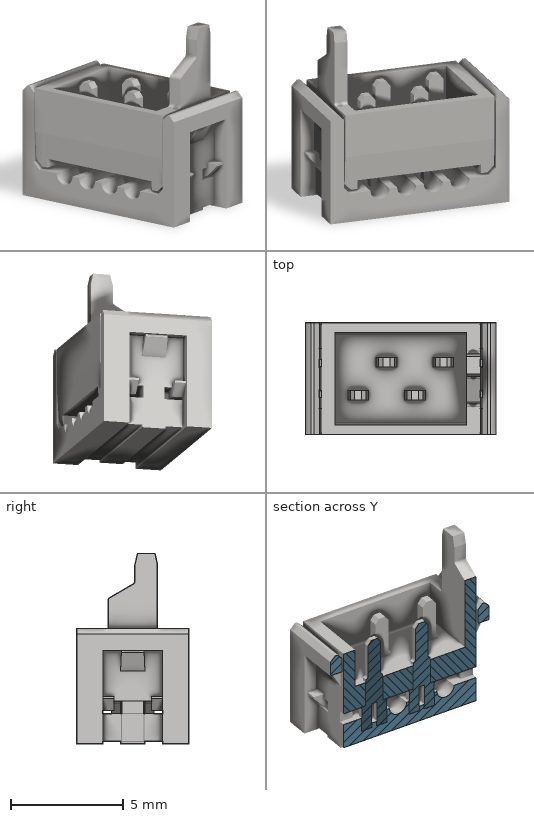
import cadquery as cq

base_length = 8.51
depth = 5.0
base_height = 5.15
arm_thickness = 0.63
arm_tip_bevel = 0.255
base_floor_z = 1.35
floor_corner_bevel = 0.31
groove_radius = 0.45
window_half_width = 1.34
window_top_z = 4.16
block_inner_x = 2.89
block_half_width = 0.49
channel_height = 0.11
keel_half_width = 0.54

housing_length = 7.11
housing_top_z = 5.09
housing_underside_z = 1.91
foot_bottom_z = 1.49
foot_corner_bevel = 0.31
foot_inner_half_y = 0.84
draft_start_z = 3.09
draft_inset = 0.1
cavity_length = 5.87
cavity_depth = 4.12
cavity_floor_z = 3.165
cavity_floor_radius = 0.1

latch_reach = 0.48
latch_bottom_z = 3.26
latch_lip = 0.09
latch_half_width_top = 0.5
latch_half_width_bottom = 0.545
tab_reach = 0.52
tab_top_z = 2.12
tab_lip = 0.09

key_top_z = 8.5
key_back_y = 1.1
key_step_y = 0.085
key_front_y = -1.1
key_tip_back_y = 0.995
key_tip_front_y = 0.21
key_back_taper_z = 8.04
key_front_taper_z = 7.98
key_slope_top_z = 7.17
key_slope_bottom_z = 6.485
key_edge_radius = 0.145

pin_count = 4
pin_pitch = 1.27
pin_row_y = 0.74
pin_thickness = 0.425
pin_top_z = 5.285
pin_tip_z = 0.68
blade_width = 0.7
blade_bevel_width = 0.19
blade_bevel_height = 0.24
shoulder_width = 0.92
shoulder_top_z = 3.32
shoulder_radius = 0.1
fork_width = 1.35
fork_slot_width = 0.255
fork_flare_radius = 0.09

base_half = base_length / 2
arm_inner_x = base_half - arm_thickness
housing_half = housing_length / 2
cavity_half = cavity_length / 2
pin_xs = [(i - (pin_count - 1) / 2) * pin_pitch for i in range(pin_count)]


def box(x0, x1, y0, y1, z0, z1):
    """Axis-aligned box between the given limits."""
    return cq.Workplane("XY").box(x1 - x0, y1 - y0, z1 - z0, centered=False).translate((x0, y0, z0))


def extrude_along_y(points, length, center_y=0):
    """Closed XZ outline extruded evenly to both sides of center_y."""
    outline = cq.Workplane("XZ", origin=(0, center_y, 0)).polyline(points).close()
    return outline.extrude(length / 2, both=True)


def mirrored_in_x(points):
    """Outline through the points, continued by their mirror image across X = 0."""
    return points + [(-x, z) for x, z in reversed(points)]


def make_base():
    tip_half_flat = arm_thickness / 2 - arm_tip_bevel
    arm_middle_x = base_half - arm_thickness / 2
    bevel_z = base_height - arm_tip_bevel
    profile = mirrored_in_x([
        (base_half, 0),
        (base_half, bevel_z),
        (arm_middle_x + tip_half_flat, base_height),
        (arm_middle_x - tip_half_flat, base_height),
        (arm_inner_x, bevel_z),
        (arm_inner_x, base_floor_z + floor_corner_bevel),
        (arm_inner_x - floor_corner_bevel, base_floor_z),
    ])
    base = extrude_along_y(profile, depth)

    for x in pin_xs:
        groove = cq.Workplane("XZ").center(x, base_floor_z).circle(groove_radius)
        base = base.cut(groove.extrude(depth, both=True))

    for side in (-1, 1):
        x0, x1 = sorted((side * housing_half, side * base_half))
        base = base.cut(box(x0, x1, -window_half_width, window_half_width, 0, window_top_z))
        x0, x1 = sorted((side * block_inner_x, side * base_half))
        base = base.cut(box(x0, x1, -window_half_width, window_half_width, base_floor_z, window_top_z))
        x0, x1 = sorted((side * block_inner_x, side * housing_half))
        base = base.union(box(x0, x1, -block_half_width, block_half_width, channel_height, housing_underside_z))
        y0, y1 = sorted((side * keel_half_width, side * window_half_width))
        base = base.cut(box(-base_half, base_half, y0, y1, 0, channel_height))
    return base


def make_housing_shell():
    bevel_z = foot_bottom_z + foot_corner_bevel
    front = mirrored_in_x([
        (housing_half, housing_top_z),
        (housing_half, bevel_z),
        (housing_half - foot_corner_bevel, foot_bottom_z),
        (cavity_half, foot_bottom_z),
        (cavity_half, housing_underside_z),
    ])
    half_depth = depth / 2
    side = [
        (half_depth, housing_top_z),
        (half_depth, draft_start_z),
        (half_depth - draft_inset, foot_bottom_z),
        (draft_inset - half_depth, foot_bottom_z),
        (-half_depth, draft_start_z),
        (-half_depth, housing_top_z),
    ]
    drafted = cq.Workplane("YZ").polyline(side).close().extrude(housing_half, both=True)
    shell = extrude_along_y(front, depth).intersect(drafted)

    shell = shell.cut(box(-housing_half, housing_half, -foot_inner_half_y, foot_inner_half_y,
                          foot_bottom_z, housing_underside_z))

    cavity = box(-cavity_half, cavity_half, -cavity_depth / 2, cavity_depth / 2, cavity_floor_z, housing_top_z)
    return shell.cut(cavity.edges("|X and <Z").fillet(cavity_floor_radius))


def make_latch(side):
    """Central barb that snaps under the window top, slightly wider toward its bottom."""
    outer_x = housing_half + latch_reach
    profile = [
        (side * cavity_half, window_top_z),
        (side * outer_x, window_top_z),
        (side * outer_x, window_top_z - latch_lip),
        (side * housing_half, latch_bottom_z),
        (side * cavity_half, latch_bottom_z),
    ]
    width_outline = [
        (-latch_half_width_bottom, latch_bottom_z),
        (latch_half_width_bottom, latch_bottom_z),
        (latch_half_width_top, window_top_z),
        (-latch_half_width_top, window_top_z),
    ]
    wedge = cq.Workplane("YZ").polyline(width_outline).close().extrude(outer_x, both=True)
    barb = extrude_along_y(profile, 2 * latch_half_width_bottom)
    return barb.intersect(wedge)


def make_tab(side, row):
    """Lower barb at the inner end of a foot."""
    outer_x = housing_half + tab_reach
    profile = [
        (side * cavity_half, tab_top_z),
        (side * outer_x, tab_top_z),
        (side * outer_x, tab_top_z - tab_lip),
        (side * housing_half, foot_bottom_z),
        (side * cavity_half, foot_bottom_z),
    ]
    width = window_half_width - foot_inner_half_y
    return extrude_along_y(profile, width, row * (foot_inner_half_y + width / 2))


def make_key():
    outline = [
        (key_back_y, cavity_floor_z),
        (key_back_y, key_back_taper_z),
        (key_tip_back_y, key_top_z),
        (key_tip_front_y, key_top_z),
        (key_step_y, key_front_taper_z),
        (key_step_y, key_slope_top_z),
        (key_front_y, key_slope_bottom_z),
        (key_front_y, cavity_floor_z),
    ]
    thickness = housing_half - cavity_half
    key = cq.Workplane("YZ", origin=(cavity_half, 0, 0)).polyline(outline).close().extrude(thickness)
    middle_x = cavity_half + thickness / 2
    for y, z in ((key_step_y, key_slope_top_z), (key_front_y, key_slope_bottom_z)):
        key = key.edges(cq.selectors.NearestToPointSelector((middle_x, y, z))).fillet(key_edge_radius)
    return key


def make_key_root(y, direction):
    """Concave fillet between a side of the key and the rim of the housing."""
    r = key_edge_radius
    root = cq.Workplane("YZ", origin=(cavity_half, 0, 0)).moveTo(y, housing_top_z)
    root = root.lineTo(y + direction * r, housing_top_z)
    root = root.radiusArc((y, housing_top_z + r), direction * r).close()
    return root.extrude(housing_half - cavity_half)


def make_housing():
    housing = make_housing_shell().union(make_key())
    housing = housing.union(make_key_root(key_back_y, 1))
    housing = housing.union(make_key_root(key_front_y, -1))
    for side in (-1, 1):
        housing = housing.union(make_latch(side))
        for row in (-1, 1):
            housing = housing.union(make_tab(side, row))
    return housing


def make_pin(x, y):
    """Flat contact: blade on top, shoulder through the floor, slotted fork at the bottom."""
    blade = blade_width / 2
    shoulder = shoulder_width / 2
    fork = fork_width / 2
    slot = fork_slot_width / 2
    r = shoulder_radius
    flare = fork_flare_radius
    ledge_z = shoulder_top_z
    pin = (
        cq.Workplane("XZ")
        .moveTo(slot, pin_tip_z)
        .lineTo(fork, pin_tip_z)
        .lineTo(fork, housing_underside_z - flare)
        .radiusArc((fork + flare, housing_underside_z), flare)
        .lineTo(shoulder, housing_underside_z)
        .lineTo(shoulder, ledge_z)
        .lineTo(blade + r, ledge_z)
        .radiusArc((blade, ledge_z + r), r)
        .lineTo(blade, pin_top_z - blade_bevel_height)
        .lineTo(blade - blade_bevel_width, pin_top_z)
        .lineTo(0, pin_top_z)
        .lineTo(0, housing_underside_z)
        .lineTo(slot, housing_underside_z)
        .close()
        .extrude(pin_thickness / 2, both=True)
    )
    pin = pin.union(pin.mirror("YZ"))
    return pin.translate((x, y, 0))


pins = [make_pin(x, pin_row_y if i % 2 else -pin_row_y) for i, x in enumerate(pin_xs)]

base = make_base()
housing = make_housing()
for pin in pins:
    base = base.cut(pin)
    housing = housing.cut(pin)

result = cq.Compound.makeCompound([base.val(), housing.val(), *[pin.val() for pin in pins]])